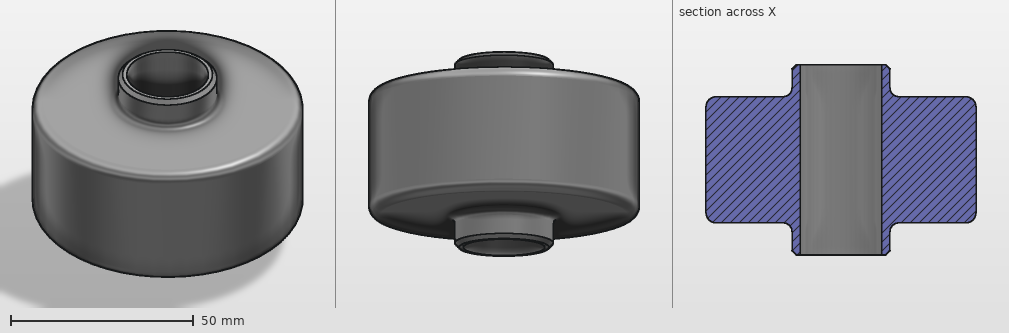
import cadquery as cq

body_diameter = 74.0
body_height = 34.6
body_edge_radius = 2.95
hub_diameter = 26.9
overall_height = 52.0
hub_chamfer = 1.2
neck_fillet_radius = 2.3
bore_diameter = 22.3

body_top = body_height / 2
hub_top = overall_height / 2


def make_body():
    """Drum with rounded rims, centred on the origin."""
    drum = cq.Workplane("XY").circle(body_diameter / 2).extrude(body_top, both=True)
    return drum.clean().faces("|Z").edges().fillet(body_edge_radius)


def make_hub():
    """Shaft through the drum that projects equally at both ends, with chamfered ends."""
    shaft = cq.Workplane("XY").circle(hub_diameter / 2).extrude(hub_top, both=True)
    return shaft.clean().faces("|Z").edges().chamfer(hub_chamfer)


def blend_necks(part):
    """Fillet the two inside corners where the hub meets the drum."""
    corner = hub_diameter / 2
    margin = neck_fillet_radius / 2
    for height in (-body_top, body_top):
        neck_edges = cq.selectors.BoxSelector(
            (-corner - margin, -corner - margin, height - margin),
            (corner + margin, corner + margin, height + margin),
            boundingbox=True,
        )
        part = part.edges(neck_edges).fillet(neck_fillet_radius)
    return part


def make_bore():
    """Cylinder that clears the full height of the part."""
    return cq.Workplane("XY").circle(bore_diameter / 2).extrude(hub_top, both=True)


result = blend_necks(make_body().union(make_hub())).cut(make_bore())